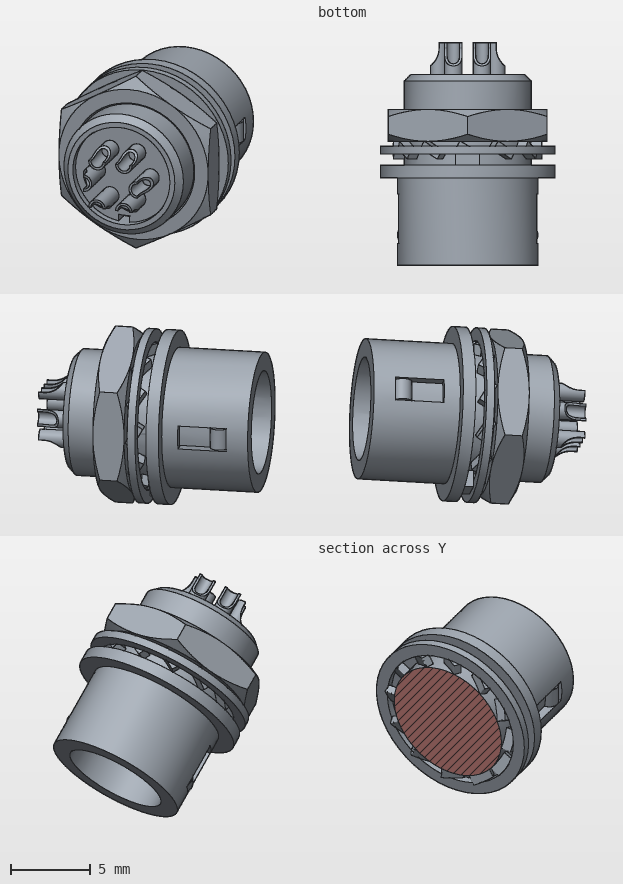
import cadquery as cq
import math


barrel_radius = 4.42
barrel_length = 5.5
bore_radius = 3.25
flange_radius = 5.5
flange_thickness = 0.8
neck_radius = 4.0
neck_length = 5.7
neck_chamfer = 0.42
recess_depth = 0.5
barrel_end_y = flange_thickness + barrel_length
neck_end_y = -neck_length
insert_face_y = neck_end_y + recess_depth

key_width = 1.5
key_reach = 5.0

notch_width = 0.75
notch_top_z = -2.8
notch_depth = 1.0

washer_thickness = 0.5
washer_front_y = -1.2
washer_rear_y = washer_front_y + washer_thickness
washer_bore_radius = 4.68
tooth_count = 12
tooth_length = 1.4
tooth_thickness = 0.5
tooth_twist = 30.0
tooth_root_overlap = 0.2
tooth_root_radius = neck_radius - tooth_root_overlap

nut_width = 10.0
nut_thickness = 2.0
nut_rear_y = -1.5
nut_front_y = nut_rear_y - nut_thickness
nut_corner_angle = 30.0
nut_bore_chamfer = 0.1

pin_count = 6
pin_circle_radius = 1.8
pin_radius = 0.55
pin_protrusion = 2.0
pin_end_y = neck_end_y - pin_protrusion
cup_radius = 0.4
cup_arc_radius = 1.4
cup_flat_length = 0.35
cup_flat_y = pin_end_y + cup_flat_length

window_width = 1.5
window_length = 3.1
window_setback = 1.38
window_end_y = barrel_end_y - window_setback
window_root_y = window_end_y - window_length
tongue_width = 1.32
tongue_radius = 3.9
bump_radius = 0.58
bump_setback = 0.54
bump_peak_y = window_end_y - bump_setback


def disc(radius, low_y, high_y):
    """Solid cylinder on the Y axis between two Y positions."""
    return cq.Workplane("XZ", origin=(0, high_y, 0)).circle(radius).extrude(high_y - low_y)


def block(x_range, y_range, z_range):
    """Box given by its limits along each axis."""
    limits = (x_range, y_range, z_range)
    sizes = [high - low for low, high in limits]
    return cq.Workplane("XY").box(*sizes, centered=False).translate([low for low, high in limits])


def make_shell():
    """Barrel, flange, neck and key, with the open mating bore and the pin-side recess."""
    barrel = disc(barrel_radius, 0, barrel_end_y)
    barrel = barrel.cut(disc(bore_radius, flange_thickness, barrel_end_y))
    flange = disc(flange_radius, 0, flange_thickness)
    neck = disc(neck_radius, neck_end_y, 0).faces("<Y").chamfer(neck_chamfer)
    recess = disc(bore_radius, neck_end_y, insert_face_y)
    key = block((-key_width / 2, key_width / 2), (washer_rear_y, 0), (-key_reach, -bore_radius))
    return barrel.union(flange).union(neck).union(key).cut(recess)


def make_notch():
    """Key notch at the lowest point of the insert, cut in from the pin side."""
    notch = block(
        (-notch_width / 2, notch_width / 2),
        (insert_face_y, insert_face_y + notch_depth),
        (-barrel_radius, notch_top_z),
    )
    return notch.intersect(disc(bore_radius, neck_end_y, 0))


def window_block(width):
    """Block of the given width, as long as a window, through the -X side of the barrel."""
    return block((-flange_radius, 0), (window_root_y, window_end_y), (-width / 2, width / 2))


def make_tongue():
    """Spring tongue in the -X window, with a rounded latch bump at its free end."""
    sleeve = disc(tongue_radius, window_root_y, window_end_y)
    bump = (
        cq.Workplane("XY", origin=(bump_radius - barrel_radius, bump_peak_y, -tongue_width / 2))
        .circle(bump_radius)
        .extrude(tongue_width)
    )
    bore = disc(bore_radius, window_root_y, window_end_y)
    return sleeve.union(bump).intersect(window_block(tongue_width)).cut(bore)


def make_washer():
    """Flat outer ring with a circle of twisted teeth reaching in to the neck."""
    ring = disc(flange_radius, washer_front_y, washer_rear_y)
    ring = ring.cut(disc(washer_bore_radius, washer_front_y, washer_rear_y))

    tooth_height = flange_radius - tooth_root_radius
    tooth = (
        cq.Workplane("XY")
        .box(tooth_length, tooth_thickness, tooth_height, centered=(True, True, False))
        .rotate((0, 0, 0), (0, 0, 1), -tooth_twist)
        .translate((0, (washer_front_y + washer_rear_y) / 2, tooth_root_radius))
    )
    tooth = tooth.intersect(disc(washer_bore_radius, nut_rear_y, 0))
    for index in range(tooth_count):
        ring = ring.union(tooth.rotate((0, 0, 0), (0, 1, 0), index * 360 / tooth_count))
    return ring


def make_nut():
    """Hex nut with two corners on the Z axis."""
    corner_radius = nut_width / 2 / math.cos(math.pi / 6)
    corner_drop = (corner_radius - nut_width / 2) * math.tan(math.radians(nut_corner_angle))
    hexagon = (
        cq.Workplane("XZ", origin=(0, nut_rear_y, 0))
        .transformed(rotate=(0, 0, 90))
        .polygon(6, 2 * corner_radius)
        .extrude(nut_thickness)
    )
    envelope = (
        cq.Workplane("XY")
        .moveTo(0, nut_rear_y)
        .lineTo(nut_width / 2, nut_rear_y)
        .lineTo(corner_radius, nut_rear_y - corner_drop)
        .lineTo(corner_radius, nut_front_y + corner_drop)
        .lineTo(nut_width / 2, nut_front_y)
        .lineTo(0, nut_front_y)
        .close()
        .revolve(360, (0, 0, 0), (0, 1, 0))
    )
    bore = disc(neck_radius, nut_front_y, nut_rear_y)
    nut = hexagon.intersect(envelope).cut(bore)
    bore_edge = cq.selectors.RadiusNthSelector(0)
    return nut.faces("<Y").edges("%CIRCLE").edges(bore_edge).chamfer(nut_bore_chamfer)


def make_pin(center_x, center_z, open_angle):
    """Solder pin whose cup opens towards +Z, turned by open_angle about its own axis."""
    pin = disc(pin_radius, pin_end_y, insert_face_y)
    arc_length = math.sqrt(cup_arc_radius**2 - (cup_arc_radius - pin_radius) ** 2)
    mid_angle = math.asin(arc_length / cup_arc_radius) / 2
    cutaway = (
        cq.Workplane("YZ", origin=(-pin_radius, 0, 0))
        .moveTo(pin_end_y, 0)
        .lineTo(cup_flat_y, 0)
        .threePointArc(
            (
                cup_flat_y + cup_arc_radius * math.sin(mid_angle),
                cup_arc_radius * (1 - math.cos(mid_angle)),
            ),
            (cup_flat_y + arc_length, pin_radius),
        )
        .lineTo(pin_end_y, pin_radius)
        .close()
        .extrude(2 * pin_radius)
    )
    cup = disc(cup_radius, pin_end_y, neck_end_y)
    pin = pin.cut(cutaway).cut(cup)
    return pin.rotate((0, 0, 0), (0, 1, 0), open_angle).translate((center_x, 0, center_z))


def add_pins(body):
    """Join the circle of solder pins to the body."""
    for index in range(pin_count):
        angle = 2 * math.pi * index / pin_count
        center_x = pin_circle_radius * math.cos(angle)
        center_z = pin_circle_radius * math.sin(angle)
        if index % (pin_count // 2) == 0:
            open_angle = 90 if center_x > 0 else -90
        else:
            open_angle = 0 if center_z > 0 else 180
        body = body.union(make_pin(center_x, center_z, open_angle))
    return body


connector = make_shell().cut(make_notch())
for side_angle in (0, 180):
    window = window_block(window_width).rotate((0, 0, 0), (0, 1, 0), side_angle)
    tongue = make_tongue().rotate((0, 0, 0), (0, 1, 0), side_angle)
    connector = connector.cut(window).union(tongue)
connector = connector.union(make_washer()).union(make_nut())
result = add_pins(connector)